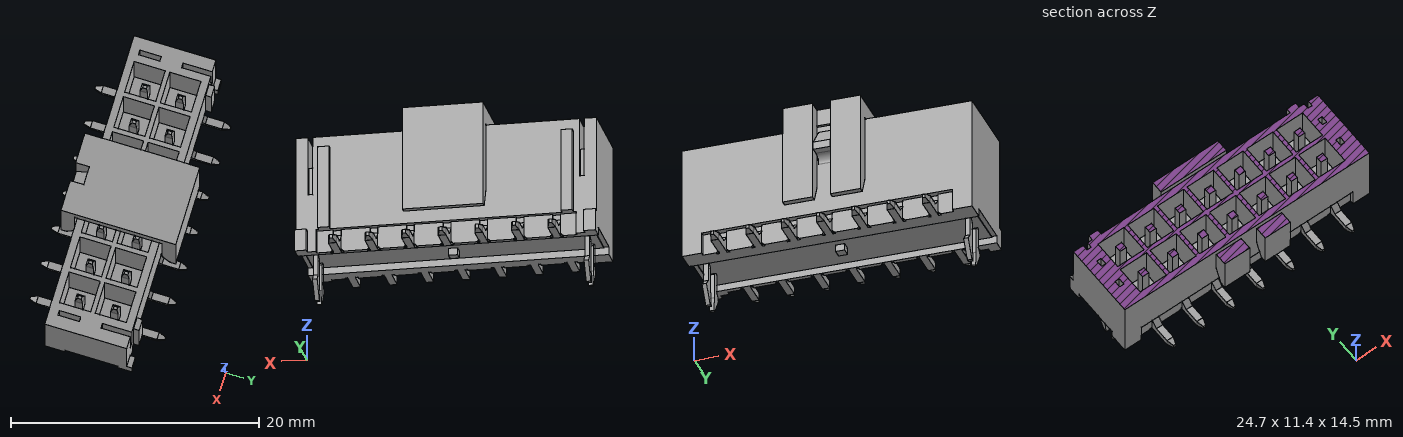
import cadquery as cq
import math


housing_length = 24.7
housing_width = 6.92
housing_height = 9.88
end_x = housing_length / 2
side_y = housing_width / 2

contacts_per_row = 7
row_length = 18.0
pitch = row_length / (contacts_per_row - 1)
row_y = pitch / 2
contact_xs = [i * pitch - row_length / 2 for i in range(contacts_per_row)]
pin_size = 0.65
pin_tip_width = 0.25
pin_tip_depth = 0.32
pin_tip_length = 0.62
pin_top = 7.4
tail_height = 0.67
tail_end_y = 5.7
tail_bend_y = 3.68
tail_bend_rise = 0.77
tail_root_y = tail_bend_y - tail_bend_rise

pocket_size = 2.62
pocket_floor = 2.96

recess_length = 21.35
recess_height = 1.88
recess_depth = 0.35
recess_wall_y = side_y - recess_depth
tail_slot_chamfer = 0.22

channel_front_y = -1.75
channel_back_y = 2.7
channel_depth = 0.6
channel_end_depth = 0.67
channel_end_length = 0.42
peg_size = 0.77
peg_y = 0.17

foot_length = 0.96
foot_back_y = 3.9
foot_height = 1.83
rib_width = 0.95
rib_inner_x = 9.5
rib_back_y = 3.93
rib_top = 8.85

lock_x = 11.15
lock_thickness = 0.4
lock_y = 0.07
lock_slot_floor = 4.95
lock_slot_front_y = -2.65
lock_slot_inner = 0.91
lock_strip_inner = 1.5
lock_strip_back_y = 2.95
lock_strip_top = 7.4
lock_leg_inner = 0.47
lock_leg_outer = 1.05
lock_bevel_start = 0.32
lock_bevel_run = 0.42
lock_barb_reach = 1.53
lock_barb_top = -1.1
lock_barb_point = -1.65
lock_taper_start = -1.88
lock_tip_z = -3.14
lock_tip_inner = 0.32
lock_tip_outer = 0.6

latch_width = 1.43
latch_top = 9.39
latch_edge_top = 7.73
latch_edge_bottom = 7.06
latch_front_y = -4.8
latch_fillet = 0.67

cap_width = 6.62
cap_outer_y = 4.85
cap_inner_y = 3.68
cap_top = 11.35
cap_bottom = 2.6
cap_lead_in_top = 4.1
cap_lead_in_y = 4.35
cap_gap = 1.53


def block(x_range, y_range, z_range):
    """Box between the given limits on each axis."""
    (x0, x1), (y0, y1), (z0, z1) = x_range, y_range, z_range
    return cq.Workplane("XY").box(x1 - x0, y1 - y0, z1 - z0, centered=False).translate((x0, y0, z0))


def profile_yz(points, x_center, width):
    """Closed YZ outline extruded along X about x_center."""
    outline = cq.Workplane("YZ").polyline(points).close()
    return outline.extrude(width / 2, both=True).translate((x_center, 0, 0))


def across(center, width):
    """Limits of a span of the given width."""
    return (center - width / 2, center + width / 2)


def pyramid_tip(plane):
    """Tapered pin end growing from the origin of the given plane."""
    base = cq.Workplane(plane).rect(pin_size, pin_size)
    return base.workplane(offset=pin_tip_length).rect(pin_tip_width, pin_tip_depth).loft()


def make_housing():
    body = block((-end_x, end_x), (-side_y, side_y), (0, housing_height))

    for side in (-1, 1):
        foot_x = side * (end_x - foot_length / 2)
        rib_x = side * (rib_inner_x + rib_width / 2)
        body = body.union(block(across(foot_x, foot_length), (0, foot_back_y), (0, foot_height)))
        body = body.union(block(across(rib_x, rib_width), (0, rib_back_y), (recess_height, rib_top)))

    channel_y = (channel_front_y, channel_back_y)
    body = body.cut(block((-end_x, end_x), channel_y, (0, channel_depth)))
    for side in (-1, 1):
        end_center = side * (end_x - channel_end_length / 2)
        body = body.cut(block(across(end_center, channel_end_length), channel_y, (0, channel_end_depth)))

    body = body.union(block(across(0, peg_size), across(peg_y, peg_size), (0, channel_end_depth)))

    pockets = cq.Workplane("XY", origin=(0, 0, pocket_floor)).rarray(pitch, pitch, contacts_per_row, 2)
    return body.cut(pockets.rect(pocket_size, pocket_size).extrude(housing_height))


def make_tail_recess():
    """Front recess with one flared slot for each contact tail."""
    recess = block(across(0, recess_length), (-side_y, -recess_wall_y), (0, recess_height))
    half = pin_size / 2
    flare = half + tail_slot_chamfer
    slot_outline = [
        (-flare, 0),
        (-half, tail_slot_chamfer),
        (-half, recess_height),
        (half, recess_height),
        (half, tail_slot_chamfer),
        (flare, 0),
    ]
    slot = cq.Workplane("XZ", origin=(0, -tail_root_y, 0)).polyline(slot_outline).close()
    slot = slot.extrude(recess_depth)
    for x in contact_xs:
        recess = recess.union(slot.translate((x, 0, 0)))
    return recess


def make_front_contact():
    """Front-row contact at X = 0: a straight post and a bent tail."""
    post = block(across(0, pin_size), across(-row_y, pin_size), (channel_end_depth, pin_top - pin_tip_length))
    post_tip = pyramid_tip("XY").translate((0, -row_y, pin_top - pin_tip_length))
    tail_shoulder_y = tail_end_y - pin_tip_length
    tail_outline = [
        (-channel_back_y, 0),
        (-tail_shoulder_y, 0),
        (-tail_shoulder_y, tail_height),
        (-tail_bend_y, tail_height),
        (-tail_root_y, tail_height + tail_bend_rise),
        (-tail_root_y, recess_height),
        (-channel_back_y, recess_height),
    ]
    tail = profile_yz(tail_outline, 0, pin_size)
    tail_tip = pyramid_tip("XZ").translate((0, -tail_shoulder_y, tail_height / 2))
    return post.union(post_tip).union(tail).union(tail_tip)


def make_lock_slots(x):
    """Slots in the top of the housing; the back one opens through the back face."""
    span = across(x, lock_thickness)
    z_range = (lock_slot_floor, housing_height)
    front = block(span, (lock_slot_front_y, lock_y - lock_slot_inner), z_range)
    back = block(span, (lock_y + lock_slot_inner, side_y), z_range)
    return front.union(back)


def make_board_lock(x):
    """Pair of barbed legs below the housing and the strips inside the slots above."""
    span = across(x, lock_thickness)
    z_range = (lock_slot_floor, lock_strip_top)
    lock = block(span, (lock_slot_front_y, lock_y - lock_strip_inner), z_range)
    lock = lock.union(block(span, (lock_y + lock_strip_inner, lock_strip_back_y), z_range))

    leg = [
        (lock_leg_outer, channel_end_depth),
        (lock_leg_outer, lock_barb_top),
        (lock_barb_reach, lock_barb_point),
        (lock_tip_outer, lock_tip_z),
        (lock_tip_inner, lock_tip_z),
        (lock_leg_inner, lock_taper_start),
        (lock_leg_inner, lock_bevel_start),
        (lock_leg_inner + lock_bevel_run, channel_end_depth),
    ]
    for side in (-1, 1):
        points = [(lock_y + side * offset, z) for offset, z in leg]
        lock = lock.union(profile_yz(points, x, lock_thickness))
    return lock


def make_latch():
    """Ramp with a flat edge and a concave fillet back to the front face."""
    fillet_start_y = -side_y - latch_fillet
    fillet_end_z = latch_edge_bottom - latch_fillet
    diagonal = latch_fillet * math.sin(math.radians(45))
    outline = (
        cq.Workplane("YZ")
        .moveTo(-side_y, latch_top)
        .lineTo(latch_front_y, latch_edge_top)
        .lineTo(latch_front_y, latch_edge_bottom)
        .lineTo(fillet_start_y, latch_edge_bottom)
        .threePointArc(
            (fillet_start_y + diagonal, fillet_end_z + diagonal),
            (-side_y, fillet_end_z),
        )
        .close()
    )
    return outline.extrude(latch_width / 2, both=True)


def make_cap():
    """U-shaped cap resting on the housing, with its front wall split around the latch."""
    front_half = [
        (-cap_inner_y, housing_height),
        (-cap_inner_y, cap_lead_in_top),
        (-cap_lead_in_y, cap_bottom),
        (-cap_outer_y, cap_bottom),
        (-cap_outer_y, cap_top),
    ]
    back_half = [(-y, z) for y, z in reversed(front_half)]
    cap = profile_yz(front_half + back_half, 0, cap_width)
    gap = block(across(0, cap_gap), (-cap_outer_y, -cap_inner_y), (cap_bottom, cap_top))
    return cap.cut(gap)


result = make_housing()

tail_recess = make_tail_recess()
result = result.cut(tail_recess).cut(tail_recess.mirror("XZ"))

front_contact = make_front_contact()
back_contact = front_contact.mirror("XZ")
for contact_x in contact_xs:
    result = result.union(front_contact.translate((contact_x, 0, 0)))
    result = result.union(back_contact.translate((contact_x, 0, 0)))

for lock_center_x in (-lock_x, lock_x):
    result = result.cut(make_lock_slots(lock_center_x))
    result = result.union(make_board_lock(lock_center_x))

result = result.union(make_latch()).union(make_cap())